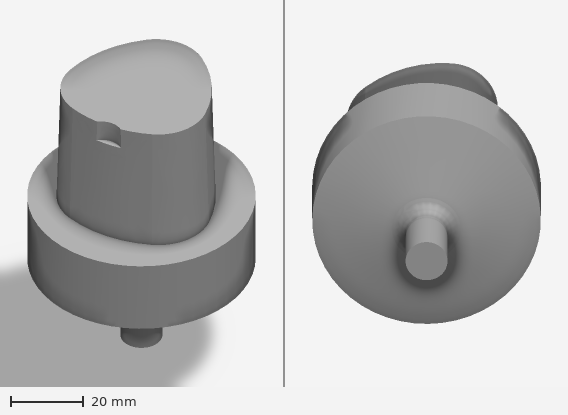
import cadquery as cq
import math

total_height = 87.0
flange_diameter = 63.0
flange_bottom = 27.1
flange_top = 49.0
stem_diameter = 11.6
cone_angle = 15.0
stem_fillet = 5.0

lobe_center_distance = 8.7
base_lobe_radius = 14.7
base_flat_distance = 20.45
taper_inset = 1.05

notch_radius = 5.7
notch_depth_y = -17.9
notch_height = 6.4


def polar(radius, angle):
    """Point at a radius and an angle in degrees."""
    return radius * math.cos(math.radians(angle)), radius * math.sin(math.radians(angle))


def make_body():
    flange_radius = flange_diameter / 2
    stem_radius = stem_diameter / 2
    cone_drop = (flange_radius - stem_radius) * math.tan(math.radians(cone_angle))
    stem_top = flange_bottom - cone_drop
    body = (
        cq.Workplane("XZ")
        .polyline([
            (0, 0),
            (stem_radius, 0),
            (stem_radius, stem_top),
            (flange_radius, flange_bottom),
            (flange_radius, flange_top),
            (0, flange_top),
        ])
        .close()
        .revolve(360, (0, 0), (0, 1))
    )
    corner = cq.selectors.BoxSelector(
        (-flange_radius, -flange_radius, stem_top - 0.9),
        (flange_radius, flange_radius, stem_top + 0.9),
    )
    return body.edges("%CIRCLE").edges(corner).fillet(stem_fillet)


def draw_lobed_section(sketch, inset):
    """Three lobe arcs joined by tangent flank arcs, shrunk evenly by the inset."""
    lobe_radius = base_lobe_radius - inset
    flat_distance = base_flat_distance - inset
    gap = flat_distance - lobe_radius
    flank_center = (lobe_center_distance**2 - gap**2) / (2 * gap - lobe_center_distance)
    across = lobe_center_distance * math.sin(math.radians(60))
    along = flank_center + lobe_center_distance * math.cos(math.radians(60))
    stretch = 1 + lobe_radius / math.hypot(across, along)
    joint_across = across * stretch
    joint_along = along * stretch - flank_center
    joint_distance = math.hypot(joint_across, joint_along)
    joint_angle = 60 - math.degrees(math.atan2(joint_across, joint_along))

    lobe_angles = (90, 210, 330)
    sketch = sketch.moveTo(*polar(joint_distance, lobe_angles[0] - joint_angle))
    for angle in lobe_angles:
        lobe_tip = polar(lobe_center_distance + lobe_radius, angle)
        lobe_end = polar(joint_distance, angle + joint_angle)
        flank_middle = polar(flat_distance, angle + 60)
        flank_end = polar(joint_distance, angle + 120 - joint_angle)
        sketch = sketch.threePointArc(lobe_tip, lobe_end)
        sketch = sketch.threePointArc(flank_middle, flank_end)
    return sketch.close()


def make_shank():
    base = draw_lobed_section(cq.Workplane("XY").workplane(offset=flange_top), 0)
    top_plane = base.workplane(offset=total_height - flange_top)
    return draw_lobed_section(top_plane, taper_inset).loft(ruled=True, combine=True)


def make_notch():
    return (
        cq.Workplane("XY")
        .workplane(offset=total_height - notch_height)
        .center(0, notch_depth_y - notch_radius)
        .circle(notch_radius)
        .extrude(notch_height)
    )


result = make_body().union(make_shank()).cut(make_notch())